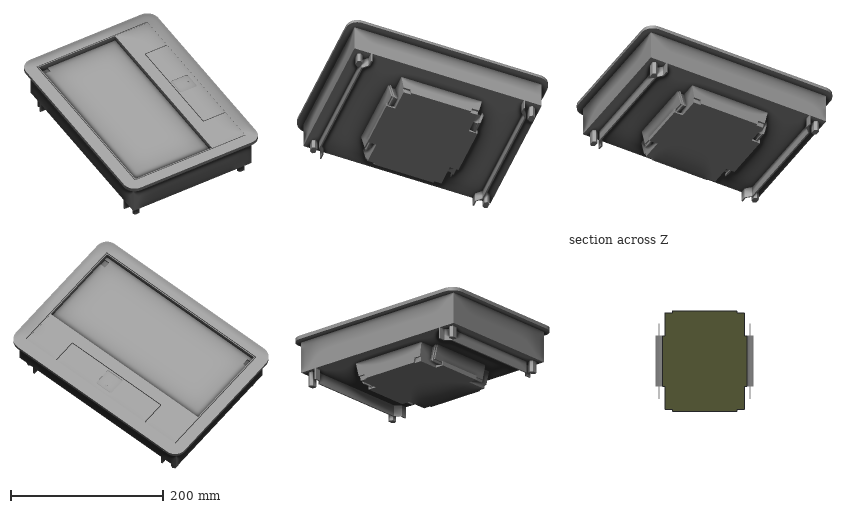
import cadquery as cq


flange_x = 285.0
flange_y = 202.0
flange_corner_radius = 16.2
frame_thickness = 2.8
flange_bottom = -4.8

opening_x = 253.0
opening_y = 169.0

box_x = 265.0
box_y = 181.0
box_bottom = -48.0

lid_gap = 1.0
lid_rim = 1.0
lid_bottom = -12.0
deck_drop = 0.3
deck_front_y = 34.5
tray_depth = 8.0
notch_x = 7.7
notch_y = 9.0
notch_depth = 2.3
notch_front_offset = 4.5

flap_x = 149.0
flap_front_y = 51.3
flap_thickness = 3.5
flap_gap = 1.0
flap_corner_radius = 1.0

pull_x = 25.5
pull_y = 25.5
pull_center_y = 65.8
pull_depth = 0.5
pull_slope = 0.9
pull_corner_radius = 2.3
arrow_width = 5.0
arrow_length = 3.0
arrow_tip_offset = 3.0
arrow_depth = 0.3

leg_center_x = 122.0
leg_center_y = 80.0
leg_x = 7.5
leg_y = 11.0
leg_flat_y = 6.8
left_leg_bottom = -67.5
right_leg_bottom = -63.3

rail_thickness = 2.0
rail_bottom = -63.3
rail_outer_x = 116.5
rail_inner_x = 109.2
rail_straight_half_y = 74.7

base_bottom = -72.5
base_top_half_x = 57.0
base_bottom_half_x = 52.2
base_top_half_y = 67.8
base_bottom_half_y = 66.0
corner_cut_top = -66.5
corner_cut_top_x = 43.5
corner_cut_bottom_x = 42.2
corner_cut_depth = 2.5

wing_top_x = 67.8
wing_slope = 0.25
wing_thickness = 1.7
outer_wing_bottom = -67.3
outer_wing_half_y = 47.5
inner_wing_bottom = -70.0
inner_wing_half_y = 49.5
wing_block_inner_bottom = -65.8
wing_block_outer_bottom = -67.0
wing_block_half_y = 45.5

plate_x = 128.8
plate_y = 67.3
plate_thickness = 1.5
lip_thickness = 1.5
lip_top = -66.5
plate_ramp_x = 59.5
plate_ramp_top = -68.7

lid_x = opening_x - 2 * lid_gap
lid_back_y = opening_y / 2
lid_front_y = -opening_y / 2 + lid_gap
tray_x = lid_x - 2 * lid_rim
tray_front_y = lid_front_y + lid_rim
deck_top = -deck_drop


def block(x_min, x_max, y_min, y_max, z_min, z_max):
    """Box given by its limits along the three axes."""
    return (
        cq.Workplane("XY")
        .box(x_max - x_min, y_max - y_min, z_max - z_min, centered=False)
        .translate((x_min, y_min, z_min))
    )


def centered_block(size_x, size_y, z_min, z_max):
    """Box centred on the Z axis."""
    return block(-size_x / 2, size_x / 2, -size_y / 2, size_y / 2, z_min, z_max)


def xz_prism(points, half_y):
    """Outline in the XZ plane, extruded symmetrically about Y = 0."""
    return cq.Workplane("XZ").polyline(points).close().extrude(half_y, both=True)


def flange_plate(z_min, z_max):
    """Round-cornered plate with the flange outline."""
    return centered_block(flange_x, flange_y, z_min, z_max).edges("|Z").fillet(flange_corner_radius)


def make_frame():
    opening = centered_block(opening_x, opening_y, -frame_thickness, 0)
    return flange_plate(-frame_thickness, 0).cut(opening)


def make_leg(x, y, bottom):
    """Elongated hexagonal bar with its flats facing +X and -X."""
    half_x = leg_x / 2
    half_flat = leg_flat_y / 2
    half_y = leg_y / 2
    outline = [
        (-half_x, -half_flat),
        (0, -half_y),
        (half_x, -half_flat),
        (half_x, half_flat),
        (0, half_y),
        (-half_x, half_flat),
    ]
    leg = cq.Workplane("XY").polyline(outline).close().extrude(box_bottom - bottom)
    return leg.translate((x, y, bottom))


def make_rail():
    """Thin strip along Y at the +X side, stepped inwards at 45 degrees near both ends."""
    step = rail_outer_x - rail_inner_x
    bend_y = rail_straight_half_y
    end_y = box_y / 2
    path = [
        (rail_inner_x, -end_y),
        (rail_inner_x, -bend_y - step),
        (rail_outer_x, -bend_y),
        (rail_outer_x, bend_y),
        (rail_inner_x, bend_y + step),
        (rail_inner_x, end_y),
    ]
    inner_path = [(x - rail_thickness, y) for x, y in reversed(path)]
    outline = path + inner_path
    rail = cq.Workplane("XY").polyline(outline).close().extrude(box_bottom - rail_bottom)
    return rail.translate((0, 0, rail_bottom))


def tapered_base(y_inset=0.0):
    """Base block that narrows downwards, optionally slimmed on both Y sides."""
    return (
        cq.Workplane("XY", origin=(0, 0, base_bottom))
        .rect(2 * base_bottom_half_x, 2 * (base_bottom_half_y - y_inset))
        .workplane(offset=box_bottom - base_bottom)
        .rect(2 * base_top_half_x, 2 * (base_top_half_y - y_inset))
        .loft(ruled=True)
    )


def make_corner_cuts():
    """Shallow recesses at the four lower corners of the base."""
    outline = [
        (corner_cut_bottom_x, base_bottom),
        (base_top_half_x, base_bottom),
        (base_top_half_x, corner_cut_top),
        (corner_cut_top_x, corner_cut_top),
    ]
    side_cut = xz_prism(outline, base_top_half_y)
    both_cuts = side_cut.union(side_cut.mirror("YZ"))
    return both_cuts.cut(tapered_base(corner_cut_depth))


def make_wing():
    """Double sloped leaf at the +X side of the base, with the block that carries it."""

    def slope_x(z, offset):
        return wing_top_x - offset - wing_slope * (box_bottom - z)

    def leaf(offset, bottom, half_y):
        outline = [
            (slope_x(box_bottom, offset), box_bottom),
            (slope_x(bottom, offset), bottom),
            (slope_x(bottom, offset + wing_thickness), bottom),
            (slope_x(box_bottom, offset + wing_thickness), box_bottom),
        ]
        return xz_prism(outline, half_y)

    carrier_offset = 2 * wing_thickness
    carrier = xz_prism(
        [
            (slope_x(box_bottom, carrier_offset), box_bottom),
            (slope_x(wing_block_outer_bottom, carrier_offset), wing_block_outer_bottom),
            (base_bottom_half_x, wing_block_inner_bottom),
            (base_bottom_half_x, box_bottom),
        ],
        wing_block_half_y,
    )
    outer_leaf = leaf(0, outer_wing_bottom, outer_wing_half_y)
    inner_leaf = leaf(wing_thickness, inner_wing_bottom, inner_wing_half_y)
    return carrier.union(inner_leaf).union(outer_leaf)


def make_bottom_plate():
    """Plate under the base whose top ramps up to the base and whose X ends carry lips."""
    half_x = plate_x / 2
    plate_top = base_bottom + plate_thickness
    outline = [
        (0, base_bottom),
        (half_x, base_bottom),
        (half_x, lip_top),
        (half_x - lip_thickness, lip_top),
        (half_x - lip_thickness, plate_top),
        (plate_ramp_x, plate_top),
        (base_bottom_half_x, plate_ramp_top),
        (0, plate_ramp_top),
    ]
    half_plate = xz_prism(outline, plate_y / 2)
    return half_plate.union(half_plate.mirror("YZ"))


def make_housing():
    housing = flange_plate(flange_bottom, -frame_thickness)
    housing = housing.union(centered_block(box_x, box_y, box_bottom, flange_bottom))
    housing = housing.cut(centered_block(opening_x, opening_y, lid_bottom, -frame_thickness))

    housing = housing.union(tapered_base().cut(make_corner_cuts()))
    housing = housing.union(make_bottom_plate())
    for side_part in (make_wing(), make_rail()):
        housing = housing.union(side_part).union(side_part.mirror("YZ"))

    for y in (-leg_center_y, leg_center_y):
        housing = housing.union(make_leg(-leg_center_x, y, left_leg_bottom))
        housing = housing.union(make_leg(leg_center_x, y, right_leg_bottom))
    return housing


def flap_block(gap):
    """Flap outline, enlarged by a gap on its two sides and its front."""
    half_x = flap_x / 2 + gap
    front_y = flap_front_y - gap
    plate = block(-half_x, half_x, front_y, lid_back_y, deck_top - flap_thickness, deck_top)
    return plate.edges("|Z and <Y").fillet(flap_corner_radius)


def make_lid():
    lid = block(-lid_x / 2, lid_x / 2, lid_front_y, lid_back_y, lid_bottom, 0)
    lid = lid.cut(block(-tray_x / 2, tray_x / 2, deck_front_y, lid_back_y, deck_top, 0))
    lid = lid.cut(block(-tray_x / 2, tray_x / 2, tray_front_y, deck_front_y, -tray_depth, 0))

    notch_front_y = tray_front_y + notch_front_offset
    notch = block(
        tray_x / 2 - notch_x,
        tray_x / 2,
        notch_front_y,
        notch_front_y + notch_y,
        -tray_depth - notch_depth,
        -tray_depth,
    )
    lid = lid.cut(notch).cut(notch.mirror("YZ"))
    return lid.cut(flap_block(flap_gap))


def make_finger_pull():
    """Shallow recess with sloped front and back walls and an arrow sunk in its floor."""
    half_y = pull_y / 2
    floor_z = deck_top - pull_depth
    profile = [
        (pull_center_y - half_y, deck_top),
        (pull_center_y - half_y + pull_slope, floor_z),
        (pull_center_y + half_y - pull_slope, floor_z),
        (pull_center_y + half_y, deck_top),
    ]
    sloped_bar = cq.Workplane("YZ").polyline(profile).close().extrude(pull_x / 2, both=True)
    rounded_block = centered_block(pull_x, pull_y, floor_z, deck_top).edges("|Z").fillet(pull_corner_radius)
    pull = sloped_bar.intersect(rounded_block.translate((0, pull_center_y, 0)))

    tip_y = pull_center_y + half_y - arrow_tip_offset
    arrow_outline = [
        (0, tip_y),
        (-arrow_width / 2, tip_y - arrow_length),
        (arrow_width / 2, tip_y - arrow_length),
    ]
    arrow = cq.Workplane("XY", origin=(0, 0, floor_z)).polyline(arrow_outline).close().extrude(-arrow_depth)
    return pull.union(arrow)


def make_flap():
    return flap_block(0).cut(make_finger_pull())


frame = make_frame()
housing = make_housing()
lid = make_lid()
flap = make_flap()

result = cq.Compound.makeCompound([frame.val(), housing.val(), lid.val(), flap.val()])